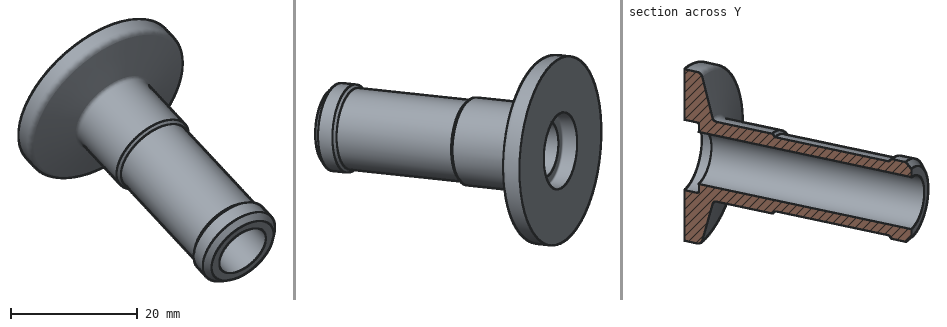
import cadquery as cq
import math

length = 40.0

flange_radius = 30.0 / 2
flange_rim_width = 3.0
taper_angle = 15.0
rim_fillet = 1.0
root_fillet = 0.6

tube_radius = 14.0 / 2
relief_radius = 13.0 / 2
relief_start = 16.0
relief_end = 36.0
end_chamfer = 1.0

bore_radius = 9.0 / 2
recess_radius = 12.2 / 2
recess_depth = 2.5
recess_fillet = 0.3

taper_end = flange_rim_width + (flange_radius - tube_radius) * math.tan(math.radians(taper_angle))
shoulder = tube_radius - relief_radius


def circle_edge_at(x, radius):
    """Select the circular edge around the X axis at the given position and radius."""
    margin = 0.05
    reach = radius + margin
    return cq.selectors.BoxSelector((x - margin, -reach, -reach), (x + margin, reach, reach), boundingbox=True)


def make_body():
    half_profile = [
        (0, 0),
        (0, flange_radius),
        (flange_rim_width, flange_radius),
        (taper_end, tube_radius),
        (relief_start - shoulder, tube_radius),
        (relief_start, relief_radius),
        (relief_end, relief_radius),
        (relief_end + shoulder, tube_radius),
        (length - end_chamfer, tube_radius),
        (length, tube_radius - end_chamfer),
        (length, 0),
    ]
    body = cq.Workplane("XY").polyline(half_profile).close().revolve(360, (0, 0, 0), (1, 0, 0))
    body = body.edges(circle_edge_at(flange_rim_width, flange_radius)).fillet(rim_fillet)
    return body.edges(circle_edge_at(taper_end, tube_radius)).fillet(root_fillet)


def make_bore():
    return cq.Workplane("YZ").circle(bore_radius).extrude(length)


def make_recess():
    recess = cq.Workplane("YZ").circle(recess_radius).extrude(recess_depth)
    return recess.faces(">X").edges().fillet(recess_fillet)


result = make_body().cut(make_bore()).cut(make_recess())